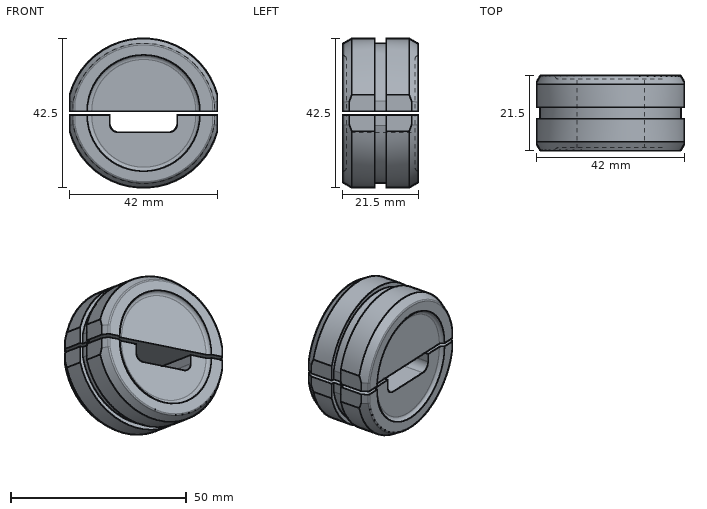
import cadquery as cq
import math


overall_height = 42.5
length = 21.5
flat_half_width = 21.0
gap = 1.0
half_gap = gap / 2

rim_center_z = -half_gap
rim_radius = overall_height / 2 - rim_center_z

chamfer_angle = math.radians(30)
rim_chamfer_length = 2.65
flat_chamfer_length = 1.9
end_edge_radius = 0.5

groove_width = 3.2
rim_groove_depth = 1.3
flat_groove_depth = 0.95

recess_radius = 16.02
recess_depth = 1.0
recess_wall_width = 1.25

slot_width = 19.12
slot_depth = 4.95
slot_corner_radius = 2.45


def end_profile(outer, chamfer_length, groove_depth):
    """Points of the grooved and chamfered outer edge, as (distance from axis, Y)."""
    end_y = length / 2
    chamfer_y = end_y - chamfer_length
    groove_y = groove_width / 2
    end_outer = outer - chamfer_length * math.tan(chamfer_angle)
    groove_floor = outer - groove_depth
    return [
        (end_outer, -end_y),
        (outer, -chamfer_y),
        (outer, -groove_y),
        (groove_floor, -groove_y),
        (groove_floor, groove_y),
        (outer, groove_y),
        (outer, chamfer_y),
        (end_outer, end_y),
    ]


def make_rim_body():
    """Full disc about the Y axis with the grooved and chamfered rim."""
    edge = end_profile(rim_radius, rim_chamfer_length, rim_groove_depth)
    axis_points = [(0, length / 2), (0, -length / 2)]
    disc = cq.Workplane("XY").polyline(edge + axis_points).close().revolve(360, (0, 0), (0, 1))
    disc = disc.faces("<Y or >Y").edges().fillet(end_edge_radius)
    return disc.translate((0, 0, rim_center_z))


def make_flat_body():
    """Upright block above the gap whose two sides carry the groove and chamfers of the flats."""
    right_edge = end_profile(flat_half_width, flat_chamfer_length, flat_groove_depth)
    left_edge = [(-x, y) for x, y in reversed(right_edge)]
    outline = cq.Workplane("XY", origin=(0, 0, half_gap)).polyline(right_edge + left_edge).close()
    block = outline.extrude(overall_height / 2)
    return block.edges("|Z").edges("<Y or >Y").fillet(end_edge_radius)


def make_recess(end):
    """Recess cutter for the end face on the -Y (end = -1) or +Y (end = 1) side."""
    end_y = end * length / 2
    floor_y = end_y - end * recess_depth
    floor_radius = recess_radius - recess_wall_width
    profile = (
        cq.Workplane("XY")
        .moveTo(0, end_y)
        .lineTo(0, floor_y)
        .lineTo(floor_radius, floor_y)
        .tangentArcPoint((recess_radius, end_y), relative=False)
        .close()
    )
    return profile.revolve(360, (0, 0), (0, 1)).translate((0, 0, half_gap))


def make_blank_half():
    """Upper half without a slot."""
    half = make_rim_body().intersect(make_flat_body())
    for end in (-1, 1):
        half = half.cut(make_recess(end))
    return half


def make_slot():
    """Slot cutter, rounded at its two bottom corners and ending at the lower mating face."""
    center_z = -half_gap - slot_depth / 2
    slot = cq.Workplane("XY").box(slot_width, length, slot_depth).translate((0, 0, center_z))
    return slot.edges("|Y and <Z").fillet(slot_corner_radius)


upper_half = make_blank_half()
lower_half = make_blank_half().mirror("XY").cut(make_slot())

result = cq.Compound.makeCompound([upper_half.val(), lower_half.val()])